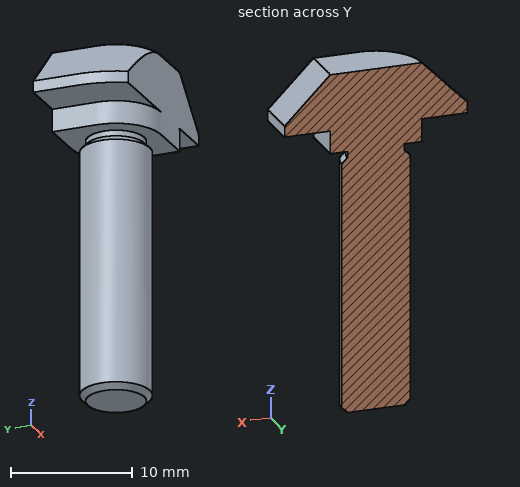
import cadquery as cq


total_length = 30.0
head_length = 16.0
head_width = 8.0
head_rim_height = 1.0
neck_height = 2.0
shank_diameter = 6.0
undercut_diameter = 5.0
undercut_length = 0.5

half_length = head_length / 2
half_width = head_width / 2
slope_size = half_length - half_width
rim_top_z = total_length - slope_size
rim_bottom_z = rim_top_z - head_rim_height
neck_bottom_z = rim_bottom_z - neck_height
shank_radius = shank_diameter / 2
undercut_radius = undercut_diameter / 2
shank_chamfer = shank_radius - undercut_radius
undercut_bottom_z = neck_bottom_z - undercut_length
shank_top_z = undercut_bottom_z - shank_chamfer


def head_profile():
    """Half section of head and neck, from the bolt axis outward to +X."""
    return cq.Workplane("XZ").polyline([
        (0, neck_bottom_z),
        (half_width, neck_bottom_z),
        (half_width, rim_bottom_z),
        (half_length, rim_bottom_z),
        (half_length, rim_top_z),
        (half_width, total_length),
        (0, total_length),
    ]).close()


def square_quadrant():
    """Flat-sided quarter of the head, at +X and -Y."""
    return head_profile().extrude(half_width)


def round_quadrant():
    """Quarter turned about the bolt axis and cut to the head width, at +X and +Y."""
    turned = head_profile().revolve(360, (0, 0), (0, 1))
    quarter = (
        cq.Workplane("XY")
        .box(half_length, half_width, total_length, centered=False)
    )
    return turned.intersect(quarter)


def head():
    """Two identical halves, turned half a revolution from each other."""
    half = square_quadrant().union(round_quadrant())
    opposite_half = half.rotate((0, 0, 0), (0, 0, 1), 180)
    return half.union(opposite_half)


def shank():
    """Turned shank with a chamfer at each end and a relief under the neck."""
    profile = cq.Workplane("XZ").polyline([
        (0, 0),
        (shank_radius - shank_chamfer, 0),
        (shank_radius, shank_chamfer),
        (shank_radius, shank_top_z),
        (undercut_radius, undercut_bottom_z),
        (undercut_radius, neck_bottom_z),
        (0, neck_bottom_z),
    ]).close()
    return profile.revolve(360, (0, 0), (0, 1))


result = head().union(shank())